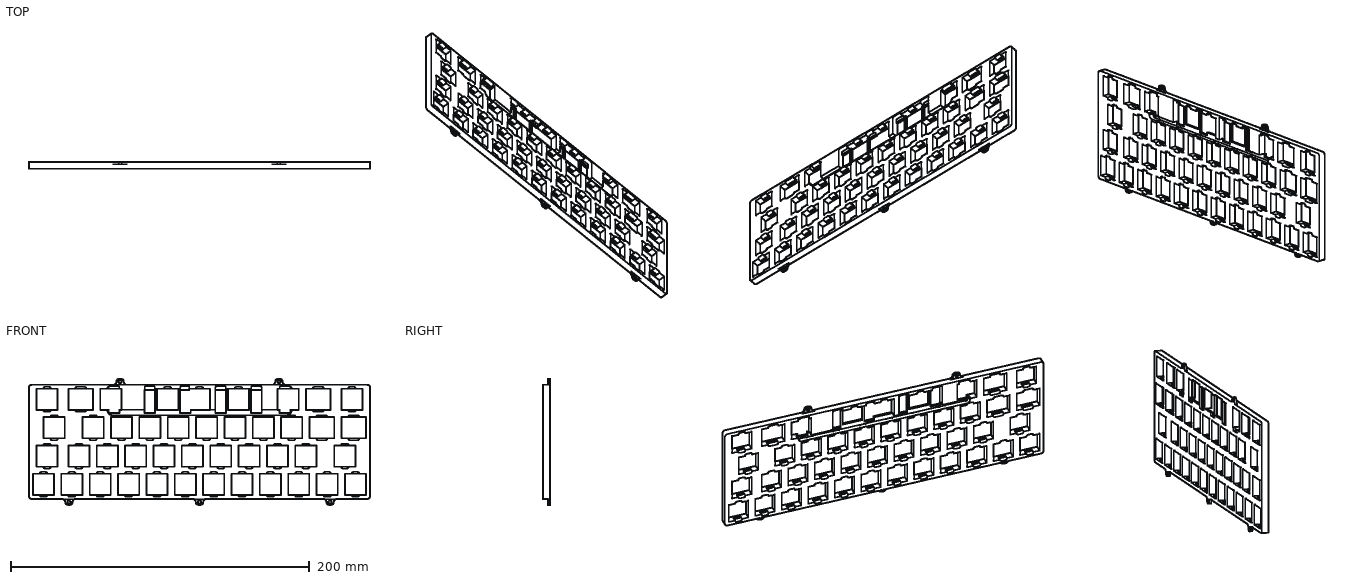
import cadquery as cq
import math


KEY_PITCH = 19.0
GRID_COLUMNS = 12
GRID_ROWS = 4
GRID_WIDTH = GRID_COLUMNS * KEY_PITCH
GRID_MARGIN = 0.3
PLATE_WIDTH = GRID_WIDTH + 2 * GRID_MARGIN
PLATE_HEIGHT = GRID_ROWS * KEY_PITCH + 2 * GRID_MARGIN
PLATE_THICKNESS = 4.76
CORNER_RADIUS = 2.0

WEB_THICKNESS = 1.5
RELIEF_DEPTH = PLATE_THICKNESS - WEB_THICKNESS

SWITCH_SIZE = 14.0
NOTCH_WIDTH = 5.0
NOTCH_DEPTH = 1.4
NOTCH_CORNER_RADIUS = 1.3

ROW_KEYS = [
    [0.625, 1.75, 1.875, 2.875, 4.875, 6.0, 7.375, 9.125, 10.125, 10.25, 11.375],
    [0.875] + [2.25 + i for i in range(8)] + [10.25, 10.375, 11.375, 11.5],
    [0.625] + [1.75 + i for i in range(9)] + [11.125],
    [0.5 + i for i in range(GRID_COLUMNS)],
]

SPACE_ROW_Z = (GRID_ROWS - 1) / 2 * KEY_PITCH
SHORT_BAR_KEYS = [4.875, 7.375]
SHORT_BAR_REACH = 11.938
LONG_BAR_REACH = 57.15
STABILIZER_WIDTH = 7.0
STABILIZER_TOP = SPACE_ROW_Z + 6.2
STABILIZER_BOTTOM = SPACE_ROW_Z - 9.0
STABILIZER_RELIEF_TOP = SPACE_ROW_Z + 8.9
STABILIZER_RELIEF_RADIUS = 1.0

MIDDLE_KEY = 6.0

CHANNEL_TOP = SPACE_ROW_Z - SWITCH_SIZE / 2
CHANNEL_BOTTOM = SPACE_ROW_Z - 10.5
CHANNEL_END_MARGIN = 4.3
CHANNEL_CORNER_RADIUS = 2.5

TAB_PROJECTION = 4.0
TAB_WIDTH = 5.1
TAB_RADIUS = TAB_PROJECTION / 2
TAB_HOLE_DIAMETER = 2.0
TAB_ROOT_OVERLAP = 1.0
TOP_TAB_X = [-53.2, 53.2]
BOTTOM_TAB_X = [-87.5, 0.0, 87.5]


def front_plane():
    """Workplane at Y = 0 with local x = X and local y = Z; extruding by -d reaches Y = d."""
    return cq.Workplane("XZ")


def key_x(units):
    """X of a key centre given in key pitches from the left end of the grid."""
    return units * KEY_PITCH - GRID_WIDTH / 2


def row_z(row):
    """Z of the key centres of a row, counted from the top."""
    return ((GRID_ROWS - 1) / 2 - row) * KEY_PITCH


def block(x_min, x_max, z_min, z_max, depth):
    """Rectangular block from the front face to the given depth."""
    return (
        front_plane()
        .center((x_min + x_max) / 2, (z_min + z_max) / 2)
        .rect(x_max - x_min, z_max - z_min)
        .extrude(-depth)
    )


def switch_cutter(x, z):
    """Square switch opening with a blind round-cornered clip notch above and below."""
    half = SWITCH_SIZE / 2
    opening = block(x - half, x + half, z - half, z + half, PLATE_THICKNESS)
    reach = half + NOTCH_DEPTH
    notches = block(x - NOTCH_WIDTH / 2, x + NOTCH_WIDTH / 2, z - reach, z + reach, RELIEF_DEPTH)
    return opening.union(notches.edges("|Y").fillet(NOTCH_CORNER_RADIUS))


def stabilizer_cutter(x, relief_limit=math.inf):
    """Stabilizer slot with a blind relief over its upper end, stopping at relief_limit in X."""
    left = x - STABILIZER_WIDTH / 2
    right = x + STABILIZER_WIDTH / 2
    slot = block(left, right, STABILIZER_BOTTOM, STABILIZER_TOP, PLATE_THICKNESS)
    relief = block(left, right, STABILIZER_BOTTOM, STABILIZER_RELIEF_TOP, RELIEF_DEPTH)
    relief = relief.edges("|Y and >Z").fillet(STABILIZER_RELIEF_RADIUS)
    if relief_limit < right:
        beyond_limit = block(
            relief_limit, right, STABILIZER_BOTTOM, STABILIZER_RELIEF_TOP, RELIEF_DEPTH
        )
        relief = relief.cut(beyond_limit)
    return slot.union(relief)


def wire_relief_cutter(x):
    """Blind relief around a short bar key, between its two stabilizer slots."""
    top = SPACE_ROW_Z + SWITCH_SIZE / 2
    return block(x - SHORT_BAR_REACH, x + SHORT_BAR_REACH, CHANNEL_BOTTOM, top, RELIEF_DEPTH)


def wire_channel_cutter():
    """Blind wire channel between the long bar slots, with its lower corners rounded."""
    reach = LONG_BAR_REACH + CHANNEL_END_MARGIN
    channel = block(-reach, reach, CHANNEL_BOTTOM, CHANNEL_TOP, RELIEF_DEPTH)
    return channel.edges("|Y and <Z").fillet(CHANNEL_CORNER_RADIUS)


def top_tab(x):
    """Screw tab on the top edge: rounded outer corners, concave arcs into the edge."""
    half = TAB_WIDTH / 2
    edge_z = PLATE_HEIGHT / 2
    root_z = edge_z - TAB_ROOT_OVERLAP
    middle_z = edge_z + TAB_RADIUS
    tip_z = edge_z + TAB_PROJECTION
    root_half = half + TAB_RADIUS
    flat_half = half - TAB_RADIUS
    arc_reach = TAB_RADIUS * math.sqrt(0.5)
    return (
        cq.Workplane("XZ", origin=(x, RELIEF_DEPTH, 0))
        .moveTo(-root_half, root_z)
        .lineTo(-root_half, edge_z)
        .threePointArc((-root_half + arc_reach, middle_z - arc_reach), (-half, middle_z))
        .threePointArc((-flat_half - arc_reach, middle_z + arc_reach), (-flat_half, tip_z))
        .lineTo(flat_half, tip_z)
        .threePointArc((flat_half + arc_reach, middle_z + arc_reach), (half, middle_z))
        .threePointArc((root_half - arc_reach, middle_z - arc_reach), (root_half, edge_z))
        .lineTo(root_half, root_z)
        .close()
        .moveTo(0, middle_z)
        .circle(TAB_HOLE_DIAMETER / 2)
        .extrude(-WEB_THICKNESS)
    )


def bottom_tab(x):
    """Screw tab on the bottom edge: the top tab mirrored."""
    return top_tab(x).mirror("XY")


def make_plate():
    plate = front_plane().rect(PLATE_WIDTH, PLATE_HEIGHT).extrude(-PLATE_THICKNESS)
    plate = plate.edges("|Y").fillet(CORNER_RADIUS)

    for x in TOP_TAB_X:
        plate = plate.union(top_tab(x))
    for x in BOTTOM_TAB_X:
        plate = plate.union(bottom_tab(x))

    for row, keys in enumerate(ROW_KEYS):
        for units in keys:
            plate = plate.cut(switch_cutter(key_x(units), row_z(row)))

    left_bar_x, right_bar_x = [key_x(units) for units in SHORT_BAR_KEYS]
    middle_opening_left = key_x(MIDDLE_KEY) - SWITCH_SIZE / 2
    for x in (left_bar_x, right_bar_x):
        plate = plate.cut(wire_relief_cutter(x))
    plate = plate.cut(stabilizer_cutter(left_bar_x + SHORT_BAR_REACH, middle_opening_left))
    for x in (
        -LONG_BAR_REACH,
        left_bar_x - SHORT_BAR_REACH,
        right_bar_x - SHORT_BAR_REACH,
        right_bar_x + SHORT_BAR_REACH,
        LONG_BAR_REACH,
    ):
        plate = plate.cut(stabilizer_cutter(x))
    return plate.cut(wire_channel_cutter())


result = make_plate()